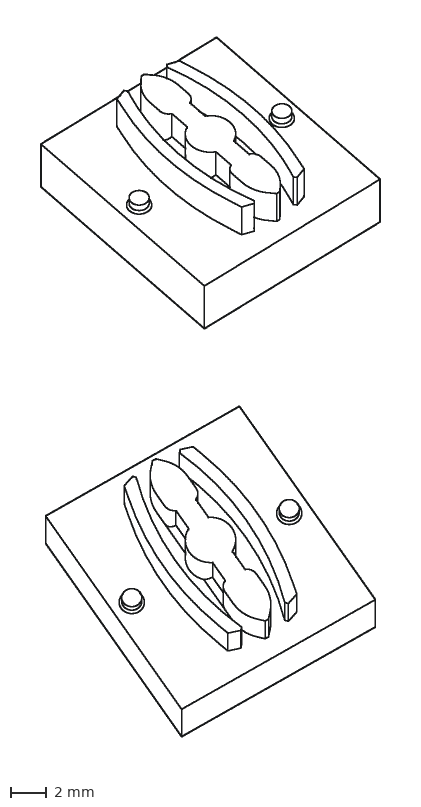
import cadquery as cq
import math

BASE_LENGTH = 14.32
BASE_WIDTH = 12.87
BASE_HEIGHT = 3.5
RIB_HEIGHT = 2.26

HUB_RADIUS = 1.42
NECK_HALF_WIDTH = 0.66
LOBE_HALF_WIDTH = 1.05
LOBE_INNER_X = 2.59
LOBE_SHOULDER_RADIUS = 0.65
LOBE_ARC_START_X = 4.05
LOBE_NOSE_RADIUS = 2.22
LOBE_TIP_X = 5.93
LOBE_TIP_HALF_WIDTH = 0.11
NECK_RAMP_SIZE = LOBE_HALF_WIDTH - NECK_HALF_WIDTH

BAR_OUTER_CREST_Y = 3.12
BAR_INNER_CREST_Y = 2.36
BAR_INNER_RADIUS = 17.04
BAR_OUTER_RADIUS = BAR_INNER_RADIUS + BAR_OUTER_CREST_Y - BAR_INNER_CREST_Y
BAR_ARC_END_X = 4.77
BAR_OUTER_END = (5.45, 2.29)
BAR_END_CORNER = (5.7, 1.58)
BAR_INNER_END_X = 5.54

PIN_Y = 5.23
PIN_DIAMETER = 1.13
PIN_HEIGHT = 0.59
PIN_FOOT_FLARE = 0.15


def arc_drop(radius, distance):
    """Fall of an arc below its crest at a horizontal distance from the crest."""
    return radius - math.sqrt(radius**2 - distance**2)


def make_lobe(side):
    """Pointed lobe at one end of the core; side is +1 or -1 along X."""
    shoulder_drop = LOBE_HALF_WIDTH - NECK_HALF_WIDTH
    shoulder_run = math.sqrt(LOBE_SHOULDER_RADIUS**2 - (LOBE_SHOULDER_RADIUS - shoulder_drop) ** 2)
    shoulder_x = LOBE_INNER_X + shoulder_run
    shoulder_mid_run = shoulder_run / 2
    shoulder_mid_y = LOBE_HALF_WIDTH - arc_drop(LOBE_SHOULDER_RADIUS, shoulder_mid_run)
    nose_run = LOBE_NOSE_RADIUS * math.sin(math.radians(45))
    nose_y = LOBE_HALF_WIDTH - arc_drop(LOBE_NOSE_RADIUS, nose_run)
    nose_mid_run = nose_run / 2
    nose_mid_y = LOBE_HALF_WIDTH - arc_drop(LOBE_NOSE_RADIUS, nose_mid_run)

    def at(x, y):
        return (side * x, y)

    return (
        cq.Workplane("XY")
        .workplane(offset=BASE_HEIGHT)
        .moveTo(*at(LOBE_INNER_X, -NECK_HALF_WIDTH))
        .lineTo(*at(LOBE_INNER_X, NECK_HALF_WIDTH))
        .threePointArc(at(shoulder_x - shoulder_mid_run, shoulder_mid_y), at(shoulder_x, LOBE_HALF_WIDTH))
        .lineTo(*at(LOBE_ARC_START_X, LOBE_HALF_WIDTH))
        .threePointArc(
            at(LOBE_ARC_START_X + nose_mid_run, nose_mid_y),
            at(LOBE_ARC_START_X + nose_run, nose_y),
        )
        .lineTo(*at(LOBE_TIP_X, LOBE_TIP_HALF_WIDTH))
        .lineTo(*at(LOBE_TIP_X, -LOBE_TIP_HALF_WIDTH))
        .lineTo(*at(LOBE_ARC_START_X + nose_run, -nose_y))
        .threePointArc(
            at(LOBE_ARC_START_X + nose_mid_run, -nose_mid_y),
            at(LOBE_ARC_START_X, -LOBE_HALF_WIDTH),
        )
        .lineTo(*at(shoulder_x, -LOBE_HALF_WIDTH))
        .threePointArc(
            at(shoulder_x - shoulder_mid_run, -shoulder_mid_y),
            at(LOBE_INNER_X, -NECK_HALF_WIDTH),
        )
        .close()
        .extrude(RIB_HEIGHT)
    )


def make_neck():
    """Bar joining both lobes through the hub, with a ramp along each foot."""
    half_length = LOBE_INNER_X + LOBE_SHOULDER_RADIUS
    ramp_top = BASE_HEIGHT + NECK_RAMP_SIZE
    top = BASE_HEIGHT + RIB_HEIGHT
    return (
        cq.Workplane("YZ")
        .workplane(offset=-half_length)
        .polyline(
            [
                (-LOBE_HALF_WIDTH, BASE_HEIGHT),
                (LOBE_HALF_WIDTH, BASE_HEIGHT),
                (NECK_HALF_WIDTH, ramp_top),
                (NECK_HALF_WIDTH, top),
                (-NECK_HALF_WIDTH, top),
                (-NECK_HALF_WIDTH, ramp_top),
            ]
        )
        .close()
        .extrude(2 * half_length)
    )


def make_bar(side):
    """Curved bar with its crest facing away from the core; side is +1 or -1 along Y."""
    arc_end_y = BAR_OUTER_CREST_Y - arc_drop(BAR_OUTER_RADIUS, BAR_ARC_END_X)
    inner_end_y = BAR_INNER_CREST_Y - arc_drop(BAR_INNER_RADIUS, BAR_INNER_END_X)

    def at(x, y):
        return (x, side * y)

    outer_x, outer_y = BAR_OUTER_END
    corner_x, corner_y = BAR_END_CORNER
    return (
        cq.Workplane("XY")
        .workplane(offset=BASE_HEIGHT)
        .moveTo(*at(-BAR_ARC_END_X, arc_end_y))
        .threePointArc(at(0, BAR_OUTER_CREST_Y), at(BAR_ARC_END_X, arc_end_y))
        .lineTo(*at(outer_x, outer_y))
        .lineTo(*at(corner_x, corner_y))
        .lineTo(*at(BAR_INNER_END_X, inner_end_y))
        .threePointArc(at(0, BAR_INNER_CREST_Y), at(-BAR_INNER_END_X, inner_end_y))
        .lineTo(*at(-corner_x, corner_y))
        .lineTo(*at(-outer_x, outer_y))
        .close()
        .extrude(RIB_HEIGHT)
    )


def make_pin(y):
    """Round pin with a 45 degree conical foot."""
    radius = PIN_DIAMETER / 2
    return (
        cq.Workplane("XZ", origin=(0, y, BASE_HEIGHT))
        .polyline(
            [
                (0, 0),
                (radius + PIN_FOOT_FLARE, 0),
                (radius, PIN_FOOT_FLARE),
                (radius, PIN_HEIGHT),
                (0, PIN_HEIGHT),
            ]
        )
        .close()
        .revolve(360, (0, 0), (0, 1))
    )


base = cq.Workplane("XY").box(BASE_LENGTH, BASE_WIDTH, BASE_HEIGHT, centered=(True, True, False))
hub = cq.Workplane("XY").workplane(offset=BASE_HEIGHT).circle(HUB_RADIUS).extrude(RIB_HEIGHT)

result = base.union(hub).union(make_neck())
for side in (-1, 1):
    result = result.union(make_lobe(side))
    result = result.union(make_bar(side))
    result = result.union(make_pin(side * PIN_Y))